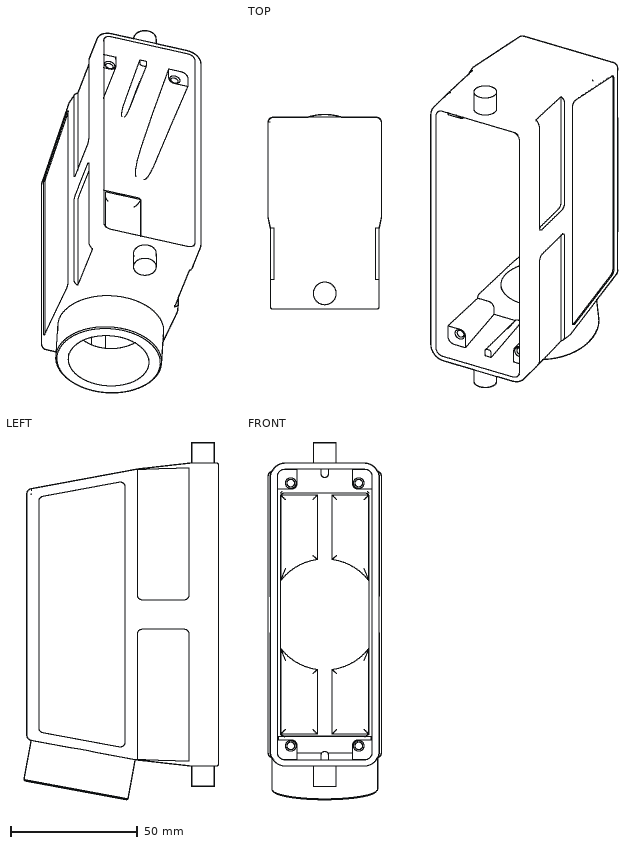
import cadquery as cq
import math


rim_half_width = 21.55
back_half_width = 22.5
rim_half_height = 60.0
rim_depth = 11.2
waist_y = 32.0
step_y = 36.3
back_y = 76.0
waist_half_height = 57.65
back_half_height = 49.5
rim_corner_radius = 6.0
waist_corner_radius = 2.8
back_corner_radius = 2.3
back_edge_radius = 2.2
rim_edge_radius = 0.9
tilt = math.atan((waist_half_height - back_half_height) / (back_y - waist_y))

wall = 2.5
mouth_half_width = 18.8
cavity_back_half_width = 17.6
cavity_back_y = 70.5
mouth_depth = 9.5
mouth_corner_radius = 3.0
cavity_corner_radius = 1.5

pocket_floor_y = 73.5
pocket_half_height = 47.3
pocket_half_width = 17.4
disc_radius = 22.0
strip_half_width = 2.9
pocket_draft = 10.0
pocket_floor_radius = 2.0

grip_floor_x = 20.0
grip_front_y = 11.7
grip_back_y = 32.2
grip_inner_z = 5.8
panel_depth = 0.5
panel_front_y = 37.0
panel_back_y = 71.2
panel_margin = 3.9
panel_corner_radius = 2.0

pin_diameter = 9.0
pin_y = 6.25
pin_tip_z = 68.0

post_front_y = 9.8
post_inner_x = 10.9
post_inner_z = 49.6
post_corner_radius = 2.5
screw_x = 13.45
screw_z = 52.0
screw_diameter = 3.0
screw_chamfer = 0.6
screw_depth = 15.0

rib_width = 2.8
rib_front_y = 8.5
rib_top_z = 54.3
rib_outer_z = 58.5
rib_edge_radius = 1.12

nozzle_diameter = 42.0
nozzle_bore = 32.0
nozzle_y = 56.58
nozzle_z = -69.62
nozzle_length = 18.0
nozzle_chamfer = 0.5
bore_reach = 28.0

seat_front_y = 33.3
seat_top_z = -48.3
seat_edge_radius = 1.2

overshoot = 1.0


def outer_half_height(y):
    """Half height of the steeply sloped rear body at depth y."""
    return waist_half_height - (y - waist_y) * math.tan(tilt)


def section_loft(sections):
    """Ruled loft through rounded rectangles: (y, half width, half height, corner radius)."""
    sketches = []
    for y, half_width, half_height, radius in sections:
        sketch = cq.Sketch().rect(2 * half_width, 2 * half_height).vertices().fillet(radius)
        sketches.append(sketch.moved(cq.Location(cq.Vector(0, 0, -y))))
    return cq.Workplane("XZ").placeSketch(*sketches).loft(ruled=True)


def span_box(x_range, y_range, z_range):
    """Box between two limits on each axis."""
    sizes = [high - low for low, high in (x_range, y_range, z_range)]
    corner = (x_range[0], y_range[0], z_range[0])
    return cq.Workplane("XY").box(*sizes, centered=False).translate(corner)


def both_sides(shape, plane):
    """The shape together with its mirror image."""
    return shape.union(shape.mirror(plane))


def four_corners(shape):
    """The shape repeated in all four corners of the XZ cross-section."""
    return both_sides(both_sides(shape, "YZ"), "XY")


def make_shell():
    shell = section_loft([
        (0, rim_half_width, rim_half_height, rim_corner_radius),
        (rim_depth, rim_half_width, rim_half_height, rim_corner_radius),
        (waist_y, rim_half_width, waist_half_height, waist_corner_radius),
        (step_y, back_half_width, outer_half_height(step_y), back_corner_radius),
        (back_y, back_half_width, back_half_height, back_corner_radius),
    ])
    shell = shell.faces(">Y").edges().fillet(back_edge_radius)
    return shell.faces("<Y").edges().fillet(rim_edge_radius)


def make_cavity():
    mouth_half_height = rim_half_height - wall
    cavity_back_half_height = outer_half_height(cavity_back_y) - wall
    waist_share = waist_y / cavity_back_y
    waist_half_width = mouth_half_width + waist_share * (cavity_back_half_width - mouth_half_width)
    return section_loft([
        (0, mouth_half_width, mouth_half_height, mouth_corner_radius),
        (mouth_depth, mouth_half_width, mouth_half_height, mouth_corner_radius),
        (waist_y, waist_half_width, waist_half_height - wall, cavity_corner_radius),
        (cavity_back_y, cavity_back_half_width, cavity_back_half_height, cavity_corner_radius),
    ])


def make_pockets():
    disc_side_z = math.sqrt(disc_radius**2 - pocket_half_width**2)
    disc_strip_z = math.sqrt(disc_radius**2 - strip_half_width**2)
    mid_angle = (math.atan2(disc_side_z, pocket_half_width)
                 + math.atan2(disc_strip_z, strip_half_width)) / 2
    arc_middle = (disc_radius * math.cos(mid_angle), disc_radius * math.sin(mid_angle))
    pocket = (
        cq.Workplane("XZ", origin=(0, cavity_back_y, 0))
        .moveTo(strip_half_width, pocket_half_height)
        .lineTo(pocket_half_width, pocket_half_height)
        .lineTo(pocket_half_width, disc_side_z)
        .threePointArc(arc_middle, (strip_half_width, disc_strip_z))
        .close()
        .extrude(cavity_back_y - pocket_floor_y, taper=pocket_draft)
    )
    pocket = pocket.faces(">Y").edges().fillet(pocket_floor_radius)
    return four_corners(pocket)


def make_grip_panels():
    grip = span_box(
        (grip_floor_x, back_half_width + overshoot),
        (grip_front_y, grip_back_y),
        (grip_inner_z, rim_half_height + overshoot),
    )
    grip = grip.edges("|X and <Z").fillet(panel_corner_radius)
    return four_corners(grip)


def make_side_panels():
    front_z = outer_half_height(panel_front_y) - panel_margin
    back_z = outer_half_height(panel_back_y) - panel_margin
    panel = (
        cq.Workplane("YZ", origin=(back_half_width - panel_depth, 0, 0))
        .polyline([
            (panel_front_y, -front_z),
            (panel_back_y, -back_z),
            (panel_back_y, back_z),
            (panel_front_y, front_z),
        ])
        .close()
        .extrude(panel_depth + overshoot)
        .edges("|X")
        .fillet(panel_corner_radius)
    )
    return both_sides(panel, "YZ")


def make_pins():
    pin_root_z = rim_half_height - wall / 2
    pin = (
        cq.Workplane("XY", origin=(0, pin_y, pin_root_z))
        .circle(pin_diameter / 2)
        .extrude(pin_tip_z - pin_root_z)
    )
    return both_sides(pin, "XY")


def make_posts():
    post = span_box(
        (post_inner_x, back_half_width),
        (post_front_y, pocket_floor_y),
        (post_inner_z, rim_half_height),
    )
    post = post.edges("|Y and <X and <Z").fillet(post_corner_radius)
    return four_corners(post)


def make_screw_holes():
    hole = (
        cq.Workplane("XZ", origin=(screw_x, post_front_y, screw_z))
        .circle(screw_diameter / 2)
        .extrude(-screw_depth)
    )
    countersink = cq.Workplane(cq.Solid.makeCone(
        screw_diameter / 2 + screw_chamfer,
        screw_diameter / 2,
        screw_chamfer,
        cq.Vector(screw_x, post_front_y, screw_z),
        cq.Vector(0, 1, 0),
    ))
    return four_corners(hole.union(countersink))


def make_ribs():
    rib = span_box(
        (-rib_width / 2, rib_width / 2),
        (rib_front_y, cavity_back_y),
        (rib_top_z, rib_outer_z),
    )
    rib = rib.edges("|Y and <Z").fillet(rib_edge_radius)
    return both_sides(rib, "XY")


def make_seat():
    seat = span_box(
        (-back_half_width, back_half_width),
        (seat_front_y, back_y),
        (-rim_half_height, seat_top_z),
    )
    return seat.edges("|X and <Y and >Z").fillet(seat_edge_radius)


def nozzle_plane():
    """Plane on the nozzle end face, its normal pointing up into the body."""
    return cq.Plane(
        origin=(0, nozzle_y, nozzle_z),
        xDir=(1, 0, 0),
        normal=(0, -math.sin(tilt), math.cos(tilt)),
    )


def make_nozzle():
    nozzle = cq.Workplane(nozzle_plane()).circle(nozzle_diameter / 2).extrude(nozzle_length)
    return nozzle.faces("<Z").edges().chamfer(nozzle_chamfer)


def make_bore():
    return cq.Workplane(nozzle_plane()).circle(nozzle_bore / 2).extrude(bore_reach)


interior = make_cavity()
for insert in (make_posts(), make_ribs(), make_seat()):
    interior = interior.cut(insert)

result = make_shell().union(make_nozzle()).union(make_pins())
result = result.cut(interior).cut(make_pockets()).cut(make_bore()).cut(make_screw_holes())
result = result.cut(make_grip_panels()).cut(make_side_panels())